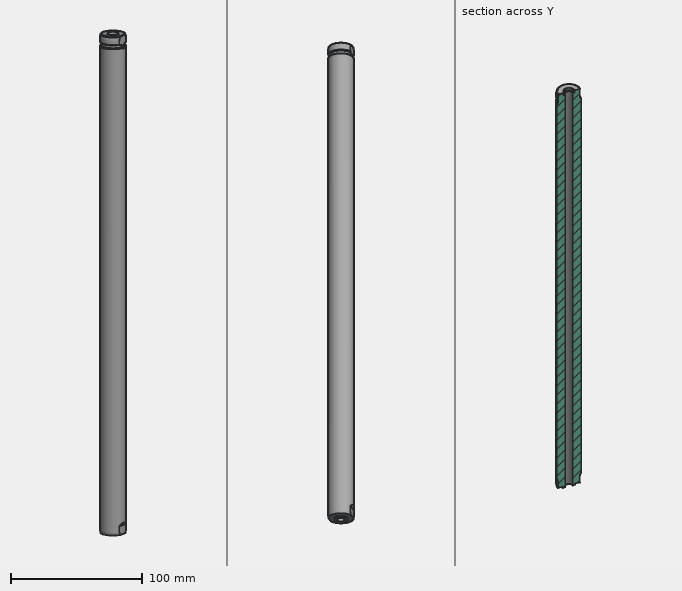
import cadquery as cq

length = 395.0
outer_radius = 20.0 / 2
end_inset = 0.5
upper_taper = 2.8
lower_taper = 2.5
rim_chamfer = 0.8

tip_radius = 5.0
tip_height = 1.0

bore_radius = 2.95
counterbore_radius = 4.5
counterbore_depth = 2.5

collar_height = 6.5
groove_width = 3.5
groove_radius = 9.3
groove_slope = 0.8
groove_top = length - collar_height
groove_bottom = groove_top - groove_width

flat_offset = 9.0
lower_flat_length = 7.0
upper_flat_length = 8.0
flat_runout = 2.5
cut_clearance = 4.0


def rod_body():
    """Revolve the stepped outside, with tapered ends and a neck groove with sloped sides."""
    end_radius = outer_radius - end_inset
    profile = [
        (0, 0),
        (tip_radius, 0),
        (tip_radius, tip_height),
        (end_radius, tip_height),
        (outer_radius, tip_height + lower_taper),
        (outer_radius, groove_bottom),
        (groove_radius, groove_bottom + groove_slope),
        (groove_radius, groove_top - groove_slope),
        (outer_radius, groove_top),
        (outer_radius, length - upper_taper),
        (end_radius, length - rim_chamfer),
        (end_radius - rim_chamfer, length),
        (0, length),
    ]
    return cq.Workplane("XZ").polyline(profile).close().revolve(360, (0, 0), (0, 1))


def flat_cutter(end_z, inner_z, runout_z, side):
    """Cut from an end to a flat whose inner limit slopes out to the surface."""
    outside = outer_radius + cut_clearance
    slope = (runout_z - inner_z) / (outer_radius - flat_offset)
    outside_z = inner_z + slope * (outside - flat_offset)
    points = [
        (side * flat_offset, end_z),
        (side * outside, end_z),
        (side * outside, outside_z),
        (side * flat_offset, inner_z),
    ]
    return cq.Workplane("XZ").polyline(points).close().extrude(outer_radius, both=True)


def stepped_bore():
    """Through bore joined to the wider, shallow counterbore."""
    bore = cq.Workplane("XY").circle(bore_radius).extrude(length)
    counterbore = (
        cq.Workplane("XY")
        .workplane(offset=length - counterbore_depth)
        .circle(counterbore_radius)
        .extrude(counterbore_depth)
    )
    return bore.union(counterbore)


lower_flat_end = tip_height + lower_flat_length
upper_flat_end = length - upper_flat_length

result = rod_body().cut(stepped_bore())

for side in (-1, 1):
    result = result.cut(flat_cutter(0, lower_flat_end, lower_flat_end + flat_runout, side))
    result = result.cut(flat_cutter(length, upper_flat_end, upper_flat_end - flat_runout, side))